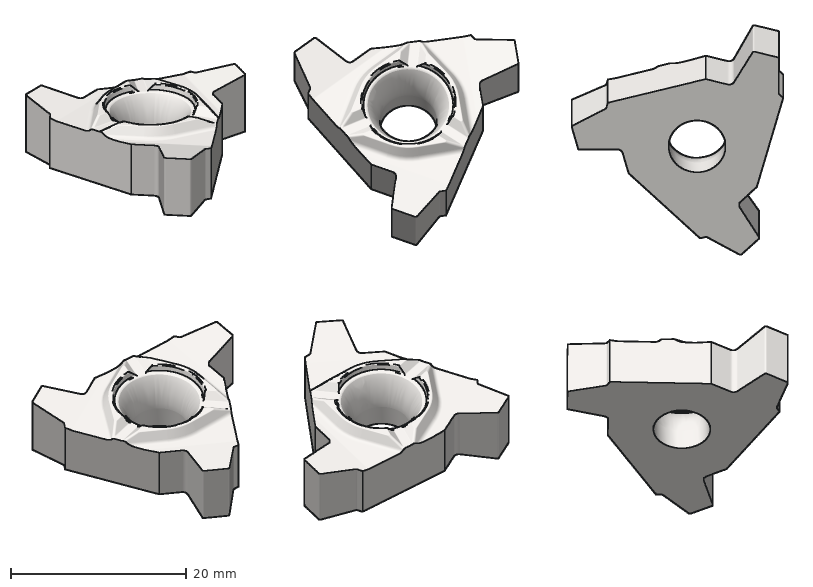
import cadquery as cq
import math

TEETH = 3
PITCH_ANGLE = 360 / TEETH

body_apothem = 7.93
shoulder_y = 8.44
floor_z = 6.25
top_z = 7.5

tooth_x = -4.62
tip_y = 13.22
tip_half_width = 1.53
flank_angle = 14.5
tip_radius = 0.2
right_root_radius = 0.65
left_root_radius = 0.25
lead_in_angle = 30

ramp_start_y = 7.55
ramp_angle = 10
ramp_blend_radius = 1.0

first_side_angle = 90
second_side_angle = 122
ridge_top_apothem = 5.8
ridge_draft = 35
ridge_foot_radius = 0.7
ridge_top_radius = 0.15

groove_angle = (first_side_angle + second_side_angle - PITCH_ANGLE) / 2
groove_floor_z = 6.7
groove_floor_width = 1.1
groove_floor_radius = 0.2
groove_wall_slope = 49
groove_corner_radius = 0.3
groove_length = 15

bore_radius = 3.25
flare_radius = 6.2
flare_top_radius = 4.74
flare_rim_radius = 0.3
seat_floor_radius = 5.08
seat_top_radius = 5.32
seat_corner_radius = 0.15

clearance = 1.0
tolerance = 0.01


def polar(radius, angle):
    """Point at a distance and an angle in degrees from the hole axis."""
    a = math.radians(angle)
    return (radius * math.cos(a), radius * math.sin(a))


def turned(point, angle):
    """Point turned about the hole axis by an angle in degrees."""
    a = math.radians(angle)
    x, y = point
    return (x * math.cos(a) - y * math.sin(a), x * math.sin(a) + y * math.cos(a))


def repeated(shape):
    """The shape together with its copies around the hole axis."""
    copies = shape
    for i in range(1, TEETH):
        copies = copies.union(shape.rotate((0, 0, 0), (0, 0, 1), i * PITCH_ANGLE))
    return copies


def tooth_points():
    """Corners of one third of the outline, anticlockwise, with the radius of each corner."""
    flank = math.tan(math.radians(flank_angle))
    lead = math.tan(math.radians(lead_in_angle))
    wall_angle = math.radians(PITCH_ANGLE / 2)
    shoulder_x = (body_apothem - shoulder_y * math.sin(wall_angle)) / math.cos(wall_angle)
    root_half_width = tip_half_width + (tip_y - shoulder_y) * flank
    lead_x = -body_apothem
    tip_left_x = tooth_x - tip_half_width
    left_root_x = (tip_y - shoulder_y - tip_left_x / flank + lead_x * lead) / (lead - 1 / flank)
    left_root_y = shoulder_y + (left_root_x - lead_x) * lead
    return [
        ((shoulder_x, shoulder_y), 0),
        ((tooth_x + root_half_width, shoulder_y), right_root_radius),
        ((tooth_x + tip_half_width, tip_y), tip_radius),
        ((tip_left_x, tip_y), tip_radius),
        ((left_root_x, left_root_y), left_root_radius),
        ((lead_x, shoulder_y), 0),
    ]


def outline_prism():
    """Full outline of the insert, extruded to the top of the ridge."""
    corners = []
    for i in range(TEETH):
        corners += [(turned(p, i * PITCH_ANGLE), r) for p, r in tooth_points()]
    prism = cq.Workplane("XY").polyline([p for p, _ in corners]).close().extrude(top_z)
    for radius in (tip_radius, right_root_radius, left_root_radius):
        for (x, y), r in corners:
            if r == radius:
                edge = cq.selectors.NearestToPointSelector((x, y, top_z / 2))
                prism = prism.edges("|Z").edges(edge).fillet(radius)
    return prism


def ridge_and_floor():
    """Flat floor with the drafted ridge standing on it, blended at the foot."""
    foot_apothem = ridge_top_apothem + (top_z - floor_z) * math.tan(math.radians(ridge_draft))
    half_corner = first_side_angle - groove_angle
    corner_radius = foot_apothem / math.cos(math.radians(half_corner))
    middle_angle = (first_side_angle + second_side_angle) / 2
    outline = cq.Workplane("XY").workplane(offset=floor_z)
    outline = outline.moveTo(*polar(corner_radius, groove_angle))
    for i in range(TEETH):
        turn = i * PITCH_ANGLE
        outline = outline.lineTo(*polar(foot_apothem, first_side_angle + turn))
        outline = outline.threePointArc(
            polar(foot_apothem, middle_angle + turn),
            polar(foot_apothem, second_side_angle + turn),
        )
        if i < TEETH - 1:
            outline = outline.lineTo(*polar(corner_radius, groove_angle + turn + PITCH_ANGLE))
    ridge = outline.close().extrude(top_z - floor_z, taper=ridge_draft)
    slab = cq.Workplane("XY").circle(2 * tip_y).extrude(floor_z)
    reach = corner_radius + clearance
    foot = cq.selectors.BoxSelector(
        (-reach, -reach, floor_z - tolerance), (reach, reach, floor_z + tolerance), boundingbox=True
    )
    return slab.union(ridge).edges(foot).fillet(ridge_foot_radius)


def tooth_ramp():
    """Wedge that lifts the upper face from the floor to the tooth tip."""
    reach = tip_y + clearance - ramp_start_y
    angle = math.radians(ramp_angle)
    blend = ramp_blend_radius * math.tan(angle / 2)
    half = angle / 2
    arc_middle = (
        ramp_start_y - blend + ramp_blend_radius * math.sin(half),
        floor_z + ramp_blend_radius * (1 - math.cos(half)),
    )
    return (
        cq.Workplane("YZ")
        .moveTo(ramp_start_y - blend, floor_z)
        .threePointArc(
            arc_middle,
            (ramp_start_y + blend * math.cos(angle), floor_z + blend * math.sin(angle)),
        )
        .lineTo(ramp_start_y + reach, floor_z + reach * math.tan(angle))
        .lineTo(ramp_start_y + reach, 0)
        .lineTo(ramp_start_y - blend, 0)
        .close()
        .extrude(body_apothem + clearance, both=True)
    )


def groove():
    """Trapezoidal groove running outwards along +X, turned to its place."""
    half_floor = groove_floor_width / 2
    depth = top_z + clearance - groove_floor_z
    half_top = half_floor + depth * math.tan(math.radians(groove_wall_slope))
    return (
        cq.Workplane("YZ")
        .polyline([
            (-half_floor, groove_floor_z),
            (half_floor, groove_floor_z),
            (half_top, groove_floor_z + depth),
            (-half_top, groove_floor_z + depth),
        ])
        .close()
        .extrude(groove_length)
        .faces("<Z")
        .edges("|X")
        .fillet(groove_floor_radius)
        .rotate((0, 0, 0), (0, 0, 1), groove_angle)
    )


def screw_hole():
    """Bore, convex flare and the drafted seat inside the ridge."""
    flare_angle = math.acos(1 - (flare_top_radius - bore_radius) / flare_radius)
    flare_start_z = groove_floor_z - flare_radius * math.sin(flare_angle)
    half = flare_angle / 2
    flare_middle = (
        bore_radius + flare_radius * (1 - math.cos(half)),
        flare_start_z + flare_radius * math.sin(half),
    )
    flare = (
        cq.Workplane("XZ")
        .moveTo(0, -clearance)
        .lineTo(bore_radius, -clearance)
        .lineTo(bore_radius, flare_start_z)
        .threePointArc(flare_middle, (flare_top_radius, groove_floor_z))
        .lineTo(0, groove_floor_z)
        .close()
        .revolve(360, (0, 0), (0, 1))
    )
    seat = (
        cq.Workplane("XZ")
        .polyline([
            (0, groove_floor_z),
            (seat_floor_radius, groove_floor_z),
            (seat_top_radius, top_z),
            (0, top_z),
        ])
        .close()
        .revolve(360, (0, 0), (0, 1))
        .faces("<Z")
        .edges()
        .fillet(seat_corner_radius)
    )
    inside = seat_floor_radius - seat_corner_radius
    rim = cq.selectors.BoxSelector(
        (-inside, -inside, groove_floor_z - tolerance),
        (inside, inside, groove_floor_z + tolerance),
        boundingbox=True,
    )
    smallest = cq.selectors.RadiusNthSelector(0)
    return flare.union(seat).edges(rim).edges(smallest).fillet(flare_rim_radius)


def with_rounded_ridge(upper):
    """Round the groove corners of the ridge, then all the edges of its top."""
    reach = 2 * body_apothem
    above_groove_floor = cq.selectors.BoxSelector(
        (-reach, -reach, groove_floor_z), (reach, reach, top_z + clearance), boundingbox=True
    )
    groove_corners = upper.edges(above_groove_floor).edges("%LINE").edges("not #Z")
    rounded = groove_corners.fillet(groove_corner_radius)
    return rounded.faces(">Z").edges().fillet(ridge_top_radius)


upper = with_rounded_ridge(ridge_and_floor().cut(repeated(groove())).cut(screw_hole()))
result = upper.union(repeated(tooth_ramp())).intersect(outline_prism())